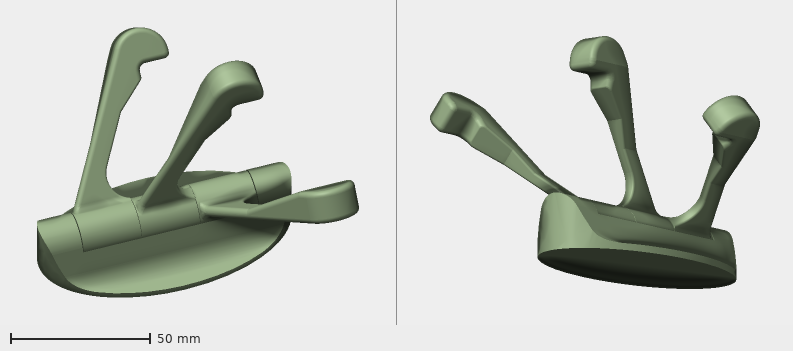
import cadquery as cq
import math

base_length = 94.5
base_width = 51.2
plate_thickness = 2.5
ridge_top = 20.9
ridge_radius = 9.2
flank_angle = math.radians(25.5)
foot_radius = 7.5

axis_height = 12.0
hub_radius = 8.9
hub_pitch = 22.0
hub_length = 21.8
pocket_clearance = 0.4
pocket_length = 66.5
hook_tilts = [-50.0, 0.0, 50.0]

arm_thickness = 4.0
head_thickness = 12.0
arm_width = 7.8
lean = math.radians(28.0)
head_radius = 10.1
overall_height = 80.0
head_top = overall_height - axis_height
head_tip_y = 37.25
head_bottom = 55.0
taper_start = 30.3
notch_wall_y = 25.3
notch_radius = 2.5
barb_z = 50.0
kink_y = 15.0
crook_radius = 9.0

root_radius = 3.0
tip_radius = 2.0
flat_left_on_edge = 0.04
outer_round = (arm_thickness - flat_left_on_edge) / 2
inner_round = 0.8

tolerance = 1e-3

head_centre_y = head_tip_y - head_radius
head_centre_z = head_top - head_radius
taper_end = head_centre_z
half_arm = arm_thickness / 2

outer_y = head_centre_y - head_radius * math.cos(lean)
outer_z = head_centre_z + head_radius * math.sin(lean)

flare_reach = hub_radius + root_radius
flare_x = half_arm + root_radius
flare_top = math.sqrt(flare_reach**2 - flare_x**2)
flare_foot_x = flare_x * hub_radius / flare_reach
flare_foot_z = flare_top * hub_radius / flare_reach


def outer_edge_y(z):
    return outer_y - (outer_z - z) * math.tan(lean)


def make_base():
    flank_top_x = ridge_radius * math.cos(flank_angle)
    flank_top_z = ridge_top - ridge_radius * (1 - math.sin(flank_angle))
    flank_foot_z = plate_thickness + foot_radius * (1 - math.sin(flank_angle))
    flank_foot_x = flank_top_x + (flank_top_z - flank_foot_z) * math.tan(flank_angle)
    foot_x = flank_foot_x + foot_radius * math.cos(flank_angle)
    half_width = base_width / 2
    section = (
        cq.Workplane("XZ", origin=(0, base_length / 2, 0))
        .moveTo(-half_width, 0)
        .lineTo(half_width, 0)
        .lineTo(half_width, plate_thickness)
        .lineTo(foot_x, plate_thickness)
        .radiusArc((flank_foot_x, flank_foot_z), foot_radius)
        .lineTo(flank_top_x, flank_top_z)
        .threePointArc((0, ridge_top), (-flank_top_x, flank_top_z))
        .lineTo(-flank_foot_x, flank_foot_z)
        .radiusArc((-foot_x, plate_thickness), foot_radius)
        .lineTo(-half_width, plate_thickness)
        .close()
        .extrude(base_length)
    )
    footprint = cq.Workplane("XY").ellipse(half_width, base_length / 2).extrude(ridge_top)
    pocket = (
        cq.Workplane("XZ", origin=(0, pocket_length / 2, axis_height))
        .circle(hub_radius + pocket_clearance)
        .extrude(pocket_length)
    )
    return section.intersect(footprint).cut(pocket)


def side_profile():
    """Outline of the hook in the YZ plane, wide enough to span the head and the flared root."""
    kink_z = outer_z + (kink_y - outer_y - arm_width / math.cos(lean)) / math.tan(lean)
    crook_z = hub_radius + crook_radius
    inner_edge_y = kink_y - (kink_z - crook_z) * math.tan(lean)
    crook_y = inner_edge_y + crook_radius / math.cos(lean)
    crook_start_y = crook_y - crook_radius * math.cos(lean)
    crook_start_z = crook_z + crook_radius * math.sin(lean)
    return (
        cq.Workplane("YZ", origin=(-head_thickness, 0, 0))
        .moveTo(outer_edge_y(flare_foot_z), flare_foot_z)
        .lineTo(outer_y, outer_z)
        .threePointArc((head_centre_y, head_top), (head_tip_y, head_centre_z))
        .lineTo(head_tip_y, head_bottom)
        .lineTo(notch_wall_y + notch_radius, head_bottom)
        .radiusArc((notch_wall_y, head_bottom - notch_radius), -notch_radius)
        .lineTo(notch_wall_y, barb_z)
        .lineTo(kink_y, kink_z)
        .lineTo(crook_start_y, crook_start_z)
        .threePointArc((crook_y - crook_radius, crook_z), (crook_y, hub_radius))
        .lineTo(crook_y, flare_foot_z)
        .close()
        .extrude(2 * head_thickness)
    )


def front_profile():
    """Outline of the hook in the XZ plane: flared root, thin arm, taper and thick head."""
    head_x = half_arm - head_thickness
    length = 2 * head_tip_y
    return (
        cq.Workplane("XZ", origin=(0, head_tip_y, 0))
        .moveTo(flare_foot_x, flare_foot_z)
        .radiusArc((half_arm, flare_top), root_radius)
        .lineTo(half_arm, head_top)
        .lineTo(head_x, head_top)
        .lineTo(head_x, taper_end)
        .lineTo(-half_arm, taper_start)
        .lineTo(-half_arm, flare_top)
        .radiusArc((-flare_foot_x, flare_foot_z), root_radius)
        .close()
        .extrude(length)
    )


def on_crook_side(edge):
    """True for edges from the barb down along the inner side of the arm."""
    middle = edge.positionAt(0.5)
    return middle.z < barb_z - tolerance and middle.y > outer_edge_y(middle.z) + arm_width / 2


def rim_edges(body):
    """Edges where the two side faces of the hook meet its rim."""
    fold_heights = [flare_foot_z, flare_top, taper_start, taper_end]
    rim = []
    for edge in body.edges("not |X").vals():
        height = edge.positionAt(0.5).z
        on_fold = any(abs(height - fold) < tolerance for fold in fold_heights)
        if height > hub_radius - tolerance and not on_fold:
            rim.append(edge)
    return rim


def round_rim(body):
    outer_edges = [edge for edge in rim_edges(body) if not on_crook_side(edge)]
    body = body.newObject(outer_edges).fillet(outer_round)
    inner_edges = [edge for edge in rim_edges(body) if on_crook_side(edge)]
    return body.newObject(inner_edges).fillet(inner_round)


def make_hook():
    """Hook standing upright with its hinge axis along Y through the origin."""
    body = side_profile().intersect(front_profile())
    tip_corner = cq.selectors.NearestToPointSelector((0, head_tip_y, head_bottom))
    body = round_rim(body.edges("|X").edges(tip_corner).fillet(tip_radius))
    hub_end = hub_length / 2
    hub = cq.Workplane("XZ", origin=(0, hub_end, 0)).circle(hub_radius).extrude(hub_length)
    neighbour_room = (
        cq.Workplane("XY")
        .box(2 * flare_x, crook_radius, 2 * flare_top)
        .translate((0, hub_end + crook_radius / 2, 0))
    )
    return body.cut(neighbour_room).union(hub)


base = make_base()
upright_hook = make_hook()
hooks = []
for index, tilt in enumerate(hook_tilts):
    hub_centre_y = (index - (len(hook_tilts) - 1) / 2) * hub_pitch
    hook = upright_hook.rotate((0, 0, 0), (0, 1, 0), tilt)
    hooks.append(hook.translate((0, hub_centre_y, axis_height)))

result = cq.Compound.makeCompound([base.val(), *[hook.val() for hook in hooks]])